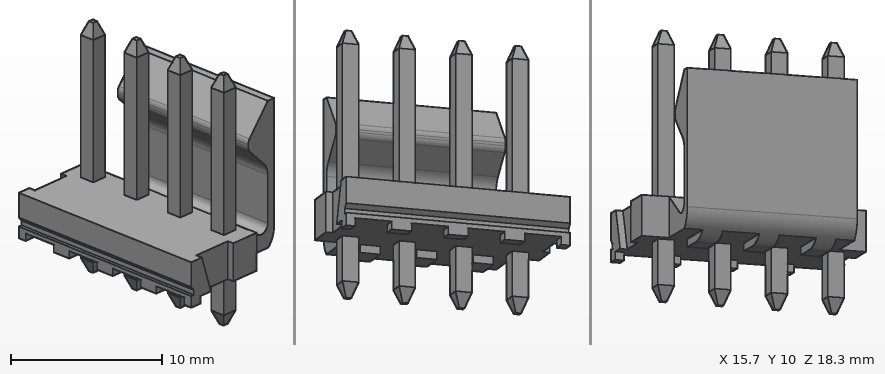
import cadquery as cq
import math


PIN_COUNT = 4
ROW_SPAN = 11.89
PIN_LENGTH = 18.29
PIN_WIDTH = 1.15
PIN_Y = 5.12
TIP_LENGTH = 1.0
TIP_WIDTH = 0.38
PITCH = ROW_SPAN / (PIN_COUNT - 1)
PIN_XS = [i * PITCH - ROW_SPAN / 2 for i in range(PIN_COUNT)]

HOUSING_LENGTH = 15.7
HOUSING_DEPTH = 6.3
FOOT_BOTTOM = 3.55
FOOT_HEIGHT = 0.55
UNDERSIDE = FOOT_BOTTOM + FOOT_HEIGHT
HOUSING_HEIGHT = 2.78
HOUSING_TOP = UNDERSIDE + HOUSING_HEIGHT
FRONT_FOOT_DEPTH = 0.91
FOOT_GAP = 2.56

GROOVE_DEPTH = 0.25
GROOVE_BOTTOM = 4.4
GROOVE_FLOOR_TOP = 4.75
GROOVE_TOP = 5.07

NOTCH_DEPTH = 0.5
NOTCH_REAR_Y = 4.06
NOTCH_FRONT_TOP_Y = 1.02
NOTCH_FRONT_BOTTOM_Y = 1.9

LATCH_LENGTH = ROW_SPAN
LATCH_BACK_Y = 10.0
LATCH_TOP = 14.85
LATCH_WALL = 0.62
LATCH_INNER_Y = LATCH_BACK_Y - LATCH_WALL
HOOK_Y = 7.5
HOOK_UPPER_Z = 12.51
HOOK_LOWER_Z = 11.87
HOOK_RADIUS = 0.6
HOOK_ROOT_Z = HOOK_LOWER_Z - (LATCH_INNER_Y - HOOK_Y)
HOOK_ROOT_RADIUS = 1.3
RAMP_ANGLE = 35.0
RAMP_FOOT_Z = HOUSING_TOP - (LATCH_INNER_Y - HOUSING_DEPTH) * math.tan(math.radians(RAMP_ANGLE))
RAMP_FOOT_RADIUS = 0.62
HEEL_RADIUS = 1.92


def extrude_along_x(points, length):
    """Extrude a (Y, Z) outline symmetrically about X = 0."""
    return cq.Workplane("YZ").polyline(points).close().extrude(length / 2, both=True)


def make_housing():
    outline = [
        (0, FOOT_BOTTOM),
        (FRONT_FOOT_DEPTH, FOOT_BOTTOM),
        (FRONT_FOOT_DEPTH, UNDERSIDE),
        (HOUSING_DEPTH, UNDERSIDE),
        (HOUSING_DEPTH, HOUSING_TOP),
        (0, HOUSING_TOP),
        (0, GROOVE_TOP),
        (GROOVE_DEPTH, GROOVE_FLOOR_TOP),
        (GROOVE_DEPTH, GROOVE_BOTTOM),
        (0, GROOVE_BOTTOM),
    ]
    return extrude_along_x(outline, HOUSING_LENGTH)


def make_end_notches():
    """Material to remove from both ends of the housing."""
    outline = [
        (NOTCH_FRONT_BOTTOM_Y, UNDERSIDE),
        (NOTCH_REAR_Y, UNDERSIDE),
        (NOTCH_REAR_Y, HOUSING_TOP),
        (NOTCH_FRONT_TOP_Y, HOUSING_TOP),
    ]
    core_length = HOUSING_LENGTH - 2 * NOTCH_DEPTH
    return extrude_along_x(outline, HOUSING_LENGTH).cut(extrude_along_x(outline, core_length))


def make_latch():
    outline = [
        (HOUSING_DEPTH, FOOT_BOTTOM),
        (LATCH_BACK_Y, FOOT_BOTTOM),
        (LATCH_BACK_Y, LATCH_TOP),
        (LATCH_INNER_Y, LATCH_TOP),
        (HOOK_Y, HOOK_UPPER_Z),
        (HOOK_Y, HOOK_LOWER_Z),
        (LATCH_INNER_Y, HOOK_ROOT_Z),
        (LATCH_INNER_Y, RAMP_FOOT_Z),
        (HOUSING_DEPTH, HOUSING_TOP),
    ]
    rounded_corners = [
        (LATCH_BACK_Y, FOOT_BOTTOM, HEEL_RADIUS),
        (HOOK_Y, HOOK_UPPER_Z, HOOK_RADIUS),
        (HOOK_Y, HOOK_LOWER_Z, HOOK_RADIUS),
        (LATCH_INNER_Y, HOOK_ROOT_Z, HOOK_ROOT_RADIUS),
        (LATCH_INNER_Y, RAMP_FOOT_Z, RAMP_FOOT_RADIUS),
    ]
    latch = extrude_along_x(outline, LATCH_LENGTH)
    for y, z, radius in rounded_corners:
        corner = cq.selectors.NearestToPointSelector((0, y, z))
        latch = latch.edges("|X").edges(corner).fillet(radius)
    return latch


def make_foot_gap(x):
    """Channel under one pin, running the full depth of housing and latch."""
    return (
        cq.Workplane("XY", origin=(x, 0, FOOT_BOTTOM))
        .box(FOOT_GAP, LATCH_BACK_Y, FOOT_HEIGHT, centered=(True, False, False))
    )


def make_tip(x, base_z, end_z):
    """Tapered pin end from the full width at base_z to the tip width at end_z."""
    return (
        cq.Workplane("XY", origin=(x, PIN_Y, base_z))
        .rect(PIN_WIDTH, PIN_WIDTH)
        .workplane(offset=end_z - base_z)
        .rect(TIP_WIDTH, TIP_WIDTH)
        .loft(ruled=True)
    )


def make_pin(x):
    shank_top = PIN_LENGTH - TIP_LENGTH
    shank = (
        cq.Workplane("XY", origin=(x, PIN_Y, TIP_LENGTH))
        .rect(PIN_WIDTH, PIN_WIDTH)
        .extrude(shank_top - TIP_LENGTH)
    )
    upper_tip = make_tip(x, shank_top, PIN_LENGTH)
    lower_tip = make_tip(x, TIP_LENGTH, 0)
    return shank.union(upper_tip).union(lower_tip)


result = make_housing().cut(make_end_notches()).union(make_latch())
for pin_x in PIN_XS:
    result = result.cut(make_foot_gap(pin_x))
for pin_x in PIN_XS:
    result = result.union(make_pin(pin_x))